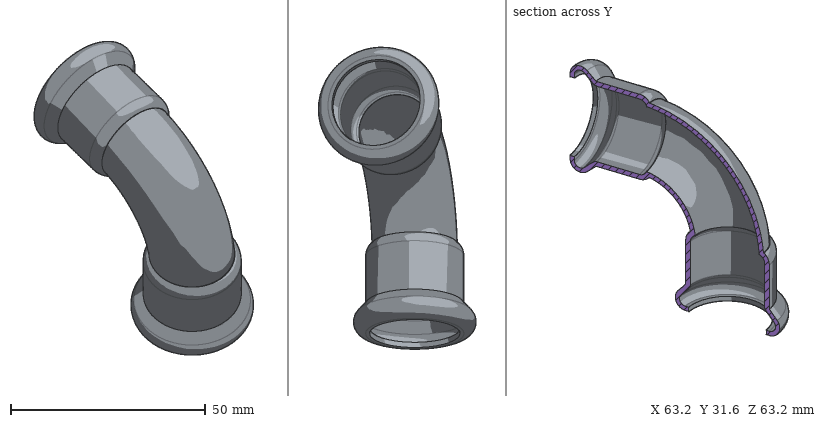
import cadquery as cq
import math

bead_diameter = 31.6
overall_length = 63.2

wall = 1.55
bead_wall = 1.4

body_diameter = 25.3
mouth_diameter = 23.2
tube_diameter = 22.0
tube_bore_diameter = 19.0

body_start = 7.9
body_end = 21.0
bend_start = 21.0

shoulder_radius = 3.6
bore_entry_radius = 1.4
stop_diameter = 20.1
stop_slope = 60.0

body_radius = body_diameter / 2
stop_radius = stop_diameter / 2
bore_radius = body_radius - wall
mouth_radius = mouth_diameter / 2
tube_radius = tube_diameter / 2
tube_bore_radius = tube_bore_diameter / 2
bead_round = (bead_diameter - body_diameter) / 2
groove_round = bead_round - bead_wall

flank_reach = body_start - bead_round
flank_angle = math.acos(bead_round / flank_reach)

axis_to_mouth = overall_length - bead_diameter / 2
bend_radius = axis_to_mouth - bend_start


def on_circle(centre, radius, angle):
    """Point at `angle` from the socket axis on a circle in the (axial, radial) plane."""
    return (centre[0] + radius * math.cos(angle), centre[1] + radius * math.sin(angle))


bead_centre = (bead_round, body_radius)
shoulder_centre = (body_end, body_radius - shoulder_radius)


def shoulder_angle(radius, end_radius):
    """Angle at which a shoulder round of `radius` has come in to `end_radius`."""
    return math.asin((end_radius - shoulder_centre[1]) / radius)


def revolve(profile):
    """Full turn of a profile drawn with the axial position as X and the radius as Y."""
    return profile.close().revolve(360, (0, 0, 0), (1, 0, 0))


def socket_outside():
    end_angle = shoulder_angle(shoulder_radius, tube_radius)
    middle_angle = (end_angle + math.pi / 2) / 2
    shoulder_end = on_circle(shoulder_centre, shoulder_radius, end_angle)
    profile = (
        cq.Workplane("XY")
        .moveTo(0, 0)
        .lineTo(0, body_radius)
        .threePointArc(
            on_circle(bead_centre, bead_round, math.pi / 2),
            on_circle(bead_centre, bead_round, flank_angle),
        )
        .lineTo(body_start, body_radius)
        .lineTo(body_end, body_radius)
        .threePointArc(
            on_circle(shoulder_centre, shoulder_radius, middle_angle),
            shoulder_end,
        )
        .lineTo(shoulder_end[0], 0)
    )
    return revolve(profile)


def socket_inside():
    entry_turn = math.pi / 2 - flank_angle
    corner_shift = (wall * math.sin(flank_angle) - bead_wall) / math.cos(flank_angle)
    flank_end = body_start + corner_shift
    entry_centre = (
        flank_end + bore_entry_radius * math.tan(entry_turn / 2),
        bore_radius + bore_entry_radius,
    )
    inner_shoulder = shoulder_radius - wall
    end_angle = shoulder_angle(inner_shoulder, stop_radius)
    middle_angle = (end_angle + math.pi / 2) / 2
    stop_start = on_circle(shoulder_centre, inner_shoulder, end_angle)
    stop_length = (stop_radius - tube_bore_radius) / math.tan(math.radians(stop_slope))
    stop_end = stop_start[0] + stop_length
    profile = (
        cq.Workplane("XY")
        .moveTo(0, 0)
        .lineTo(0, mouth_radius)
        .lineTo(bead_wall, mouth_radius)
        .lineTo(bead_wall, body_radius)
        .threePointArc(
            on_circle(bead_centre, groove_round, math.pi / 2),
            on_circle(bead_centre, groove_round, flank_angle),
        )
        .lineTo(*on_circle(entry_centre, bore_entry_radius, flank_angle + math.pi))
        .threePointArc(
            on_circle(entry_centre, bore_entry_radius, 1.5 * math.pi - entry_turn / 2),
            (entry_centre[0], bore_radius),
        )
        .lineTo(body_end, bore_radius)
        .threePointArc(
            on_circle(shoulder_centre, inner_shoulder, middle_angle),
            stop_start,
        )
        .lineTo(stop_end, tube_bore_radius)
        .lineTo(stop_end, 0)
    )
    return revolve(profile)


def bend(radius):
    """Quarter turn of a round bar from the upper socket down to the lower one."""
    return (
        cq.Workplane("YZ")
        .circle(radius)
        .revolve(90, (-1, -bend_radius, 0), (1, -bend_radius, 0))
        .translate((bend_start, 0, 0))
    )


def both_sockets(socket):
    """The upper socket together with its copy turned to open downwards."""
    corner = (axis_to_mouth, 0, 0)
    lower = socket.rotate(corner, (axis_to_mouth, 1, 0), -90)
    return socket.union(lower)


outside = both_sockets(socket_outside()).union(bend(tube_radius))
inside = both_sockets(socket_inside()).union(bend(tube_bore_radius))

result = outside.cut(inside).translate((-axis_to_mouth, 0, 0))